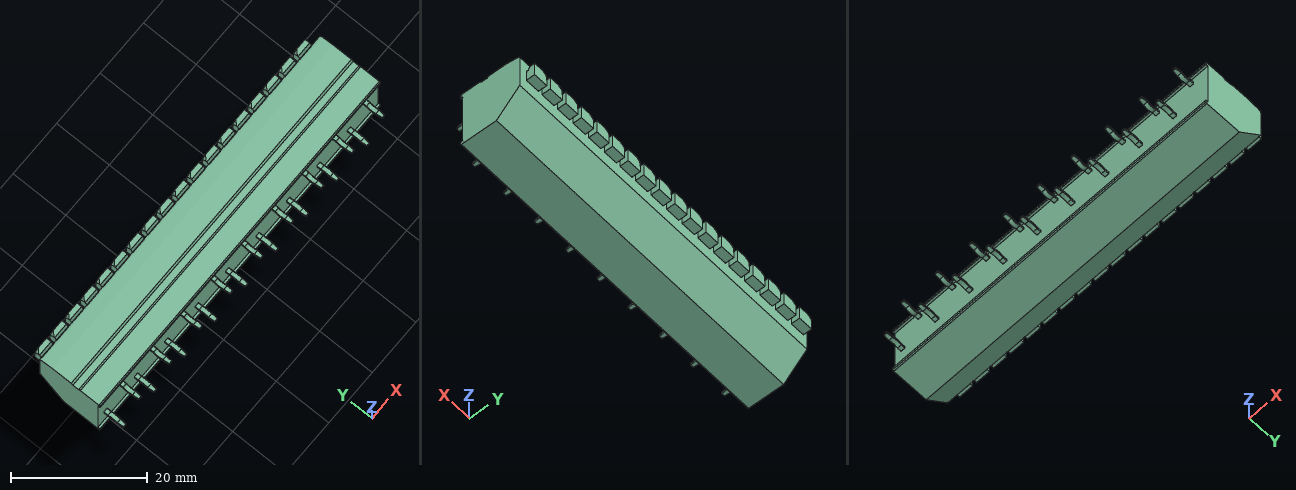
import cadquery as cq

LENGTH = 64.5
HEIGHT = 12.0
TOTAL_DEPTH = 16.4
PIN_REACH = 3.3
LIP_DEPTH = 0.4
LIP_HEIGHT = 0.8
LIP_CHAMFER = 0.2
BACK_Y = 14.8
FRONT_Y = PIN_REACH + LIP_DEPTH

SLOPE_FOOT_Y = 10.25
SLOPE_TOP_Z = 4.65
BEVEL_START_Y = 12.2
BEVEL_KNEE_Y = 14.25
BEVEL_KNEE_Z = 11.7
BEVEL_END_Z = 11.4

GROOVE_BACK_Y = 8.8
GROOVE_FRONT_Y = 7.0
GROOVE_WALL_RUN = 0.3
GROOVE_DEPTH = 0.25

COUNT = 18
FIRST_TO_LAST = 59.5
PITCH = FIRST_TO_LAST / (COUNT - 1)

BUTTON_WIDTH = 2.7
BUTTON_START_X = 0.85
BUTTON_BOTTOM_Z = 7.3
BUTTON_TOP_Z = 10.05
BUTTON_CREST_Y = 15.5
BUTTON_STEP_Y = 15.1
BUTTON_STEP_Z = 9.4
CORNER_CUT_LENGTH = 0.8
CORNER_CUT_DEPTH = 0.6

PIN_START_X = 1.75
PIN_WIDTH = 0.8
PIN_THICKNESS = 0.45
LOW_ROW_Z = 4.7
HIGH_ROW_Z = 9.8
BEND_START_Y = 2.9
BEND_END_Y = 1.1
LOW_ROW_RISE = 0.2
HIGH_ROW_SLOPE_DROP = 0.25
HIGH_ROW_SLOPE_RUN = 0.45
HIGH_ROW_DIP = 0.3
TIP_LENGTH = 0.85
TIP_WIDTH = 0.6


def make_housing():
    outline = [
        (PIN_REACH, LIP_CHAMFER),
        (PIN_REACH + LIP_CHAMFER, 0),
        (SLOPE_FOOT_Y, 0),
        (BACK_Y, SLOPE_TOP_Z),
        (BACK_Y, BEVEL_END_Z),
        (BEVEL_KNEE_Y, BEVEL_KNEE_Z),
        (BEVEL_START_Y, HEIGHT),
        (GROOVE_BACK_Y, HEIGHT),
        (GROOVE_BACK_Y - GROOVE_WALL_RUN, HEIGHT - GROOVE_DEPTH),
        (GROOVE_FRONT_Y + GROOVE_WALL_RUN, HEIGHT - GROOVE_DEPTH),
        (GROOVE_FRONT_Y, HEIGHT),
        (PIN_REACH + LIP_CHAMFER, HEIGHT),
        (PIN_REACH, HEIGHT - LIP_CHAMFER),
        (PIN_REACH, HEIGHT - LIP_HEIGHT),
        (FRONT_Y, HEIGHT - LIP_HEIGHT),
        (FRONT_Y, LIP_HEIGHT),
        (PIN_REACH, LIP_HEIGHT),
    ]
    return cq.Workplane("YZ").polyline(outline).close().extrude(LENGTH)


def make_button():
    """Stepped button with its left side at X = 0 and its top left rear corner cut off."""
    outline = [
        (BACK_Y, BUTTON_BOTTOM_Z),
        (TOTAL_DEPTH, BUTTON_BOTTOM_Z),
        (TOTAL_DEPTH, BUTTON_TOP_Z),
        (BUTTON_CREST_Y, BUTTON_TOP_Z),
        (BUTTON_STEP_Y, BUTTON_STEP_Z),
        (BACK_Y, BUTTON_STEP_Z),
    ]
    block = cq.Workplane("YZ").polyline(outline).close().extrude(BUTTON_WIDTH)
    corner = cq.Vector(0, TOTAL_DEPTH, BUTTON_TOP_Z)
    along_x = corner + cq.Vector(CORNER_CUT_LENGTH, 0, 0)
    along_y = corner - cq.Vector(0, CORNER_CUT_LENGTH, 0)
    along_z = corner - cq.Vector(0, 0, CORNER_CUT_DEPTH)
    sides = [
        (corner, along_x, along_y),
        (corner, along_y, along_z),
        (corner, along_z, along_x),
        (along_x, along_y, along_z),
    ]
    faces = [cq.Face.makeFromWires(cq.Wire.makePolygon(side, close=True)) for side in sides]
    corner_wedge = cq.Solid.makeSolid(cq.Shell.makeShell(faces))
    return block.cut(cq.Workplane(corner_wedge))


def make_pin(row_z, bend, slope_drop=0.0, slope_run=0.0):
    """Pin centred on X = 0, bent up or down in an arc and tapered to its tip.

    With a slope_drop, straight slopes lead into and out of the arc.
    """
    top = row_z + PIN_THICKNESS / 2
    bottom = row_z - PIN_THICKNESS / 2
    arc_start_y = BEND_START_Y - slope_run
    arc_end_y = BEND_END_Y + slope_run
    arc_middle_y = (BEND_START_Y + BEND_END_Y) / 2

    side = cq.Workplane("YZ").moveTo(FRONT_Y, top).lineTo(BEND_START_Y, top)
    if slope_drop:
        side = side.lineTo(arc_start_y, top - slope_drop)
    side = side.threePointArc((arc_middle_y, top + bend), (arc_end_y, top - slope_drop))
    if slope_drop:
        side = side.lineTo(BEND_END_Y, top)
    side = side.lineTo(0, top).lineTo(0, bottom).lineTo(BEND_END_Y, bottom)
    if slope_drop:
        side = side.lineTo(arc_end_y, bottom - slope_drop)
    side = side.threePointArc((arc_middle_y, bottom + bend), (arc_start_y, bottom - slope_drop))
    if slope_drop:
        side = side.lineTo(BEND_START_Y, bottom)
    bar = side.lineTo(FRONT_Y, bottom).close().extrude(PIN_WIDTH / 2, both=True)

    plan = [
        (-PIN_WIDTH / 2, FRONT_Y),
        (-PIN_WIDTH / 2, TIP_LENGTH),
        (-TIP_WIDTH / 2, 0),
        (TIP_WIDTH / 2, 0),
        (PIN_WIDTH / 2, TIP_LENGTH),
        (PIN_WIDTH / 2, FRONT_Y),
    ]
    return bar.intersect(cq.Workplane("XY").polyline(plan).close().extrude(HEIGHT))


button = make_button()
low_pin = make_pin(LOW_ROW_Z, LOW_ROW_RISE)
high_pin = make_pin(HIGH_ROW_Z, -HIGH_ROW_DIP, HIGH_ROW_SLOPE_DROP, HIGH_ROW_SLOPE_RUN)

result = make_housing()
for index in range(COUNT):
    pin = low_pin if index % 2 == 0 else high_pin
    result = result.union(button.translate((BUTTON_START_X + index * PITCH, 0, 0)))
    result = result.union(pin.translate((PIN_START_X + index * PITCH, 0, 0)))